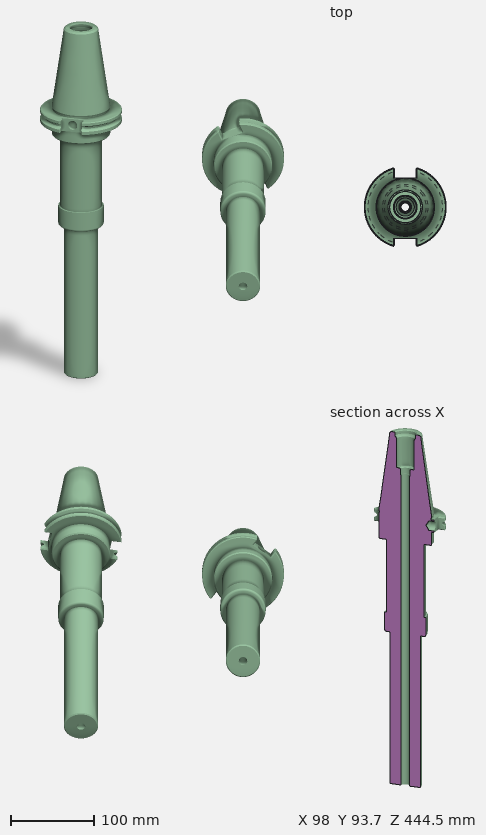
import cadquery as cq
import math

total_length = 444.5
taper_length = 101.0
bottom_z = taper_length - total_length

taper_rate = 7 / 24
gauge_radius = 70.0 / 2
tip_radius = gauge_radius - taper_length * taper_rate / 2
tip_chamfer_height = 1.8
tip_face_radius = 37.5 / 2
relief_radius = 69.0 / 2
relief_taper_height = 1.8

flange_radius = 98.0 / 2
flange_top_z = -3.5
flange_thickness = 16.5
flange_bottom_z = flange_top_z - flange_thickness
rim_chamfer = 1.0
groove_depth = 4.5
groove_flank_angle = 30
groove_floor_height = 2.0
groove_center_z = -11.5
groove_half_opening = groove_floor_height / 2 + groove_depth * math.tan(math.radians(groove_flank_angle))

hub_radius = 70.0 / 2
hub_bottom_z = -36.5
hub_chamfer = 1.5
neck_radius = 50.0 / 2
collar_radius = 54.5 / 2
collar_top_z = -127.5
collar_bottom_z = -152.5
collar_fillet = 2.5
bar_radius = 41.5 / 2
bar_chamfer = 1.5

slot_width = 25.8
slot_edge_chamfer = 1.5
slot_overshoot = 4.5
front_slot_floor = 37.8
rear_slot_floor = 35.0

drill_diameter = 11.5
drill_depth = 6.5
drill_point_angle = 118
drill_z = groove_center_z

mouth_radius = 28.5 / 2
mouth_chamfer_depth = 1.5
counterbore_radius = 26.0 / 2
counterbore_depth = 5.0
thread_radius = 21.8 / 2
thread_start_depth = 8.0
thread_end_depth = 44.5
countersink_radius = 15.0 / 2
countersink_depth = 1.5
step_radius = 12.5 / 2
step_depth = 53.5
through_radius = 10.0 / 2


def revolve_profile(profile):
    """Close the outline and turn it about the vertical axis of its own plane."""
    return profile.close().revolve(360, (0, 0), (0, 1))


def turned_body():
    fillet_offset = collar_fillet * math.sqrt(0.5)
    fillet_center = (collar_radius - collar_fillet, collar_bottom_z + collar_fillet)
    upper_points = [
        (0, taper_length),
        (tip_face_radius, taper_length),
        (tip_radius + tip_chamfer_height * taper_rate / 2, taper_length - tip_chamfer_height),
        (gauge_radius, 0),
        (relief_radius, -relief_taper_height),
        (relief_radius, flange_top_z),
        (flange_radius - rim_chamfer, flange_top_z),
        (flange_radius, flange_top_z - rim_chamfer),
        (flange_radius, groove_center_z + groove_half_opening),
        (flange_radius - groove_depth, groove_center_z + groove_floor_height / 2),
        (flange_radius - groove_depth, groove_center_z - groove_floor_height / 2),
        (flange_radius, groove_center_z - groove_half_opening),
        (flange_radius, flange_bottom_z + rim_chamfer),
        (flange_radius - rim_chamfer, flange_bottom_z),
        (hub_radius, flange_bottom_z),
        (hub_radius, hub_bottom_z + hub_chamfer),
        (hub_radius - hub_chamfer, hub_bottom_z),
        (neck_radius, hub_bottom_z),
        (neck_radius, collar_top_z),
        (collar_radius, collar_top_z),
        (collar_radius, fillet_center[1]),
    ]
    profile = (
        cq.Workplane("XZ")
        .polyline(upper_points)
        .threePointArc(
            (fillet_center[0] + fillet_offset, fillet_center[1] - fillet_offset),
            (fillet_center[0], collar_bottom_z),
        )
        .lineTo(bar_radius, collar_bottom_z)
        .lineTo(bar_radius, bottom_z + bar_chamfer)
        .lineTo(bar_radius - bar_chamfer, bottom_z)
        .lineTo(0, bottom_z)
    )
    return revolve_profile(profile)


def axial_bore():
    countersink_top = taper_length - thread_end_depth
    points = [
        (0, taper_length),
        (mouth_radius, taper_length),
        (counterbore_radius, taper_length - mouth_chamfer_depth),
        (counterbore_radius, taper_length - counterbore_depth),
        (thread_radius, taper_length - thread_start_depth),
        (thread_radius, countersink_top),
        (countersink_radius, countersink_top),
        (step_radius, countersink_top - countersink_depth),
        (step_radius, taper_length - step_depth),
        (through_radius, taper_length - step_depth),
        (through_radius, bottom_z),
        (0, bottom_z),
    ]
    return revolve_profile(cq.Workplane("XZ").polyline(points))


def mirrored_outline(plane, right_edge):
    """Closed outline from its right edge and the mirror image on the left."""
    left_edge = [(-x, y) for x, y in reversed(right_edge)]
    return plane.polyline(right_edge + left_edge).close()


def drive_slot(floor, side):
    """Slot through the flange; side is -1 for the front (-Y) and +1 for the rear."""
    half_width = slot_width / 2
    chamfered_half_width = half_width + slot_edge_chamfer
    mouth = math.sqrt(flange_radius**2 - chamfered_half_width**2)
    outside = flange_radius + slot_overshoot

    section = [
        (chamfered_half_width, flange_bottom_z),
        (half_width, flange_bottom_z + slot_edge_chamfer),
        (half_width, flange_top_z - slot_edge_chamfer),
        (chamfered_half_width, flange_top_z),
    ]
    section_plane = cq.Workplane("XZ").workplane(offset=-side * floor)
    channel = mirrored_outline(section_plane, section).extrude(side * (floor - outside))

    footprint = [
        (half_width, side * floor),
        (half_width, side * (mouth - slot_edge_chamfer)),
        (chamfered_half_width, side * mouth),
        (chamfered_half_width, side * outside),
    ]
    footprint_plane = cq.Workplane("XY", origin=(0, 0, flange_bottom_z))
    return channel.union(mirrored_outline(footprint_plane, footprint).extrude(flange_thickness))


def slot_hole():
    radius = drill_diameter / 2
    point_length = radius / math.tan(math.radians(drill_point_angle / 2))
    start = -front_slot_floor
    profile = [
        (0, start),
        (radius, start),
        (radius, start + drill_depth),
        (0, start + drill_depth + point_length),
    ]
    plane = cq.Workplane("XY", origin=(0, 0, drill_z))
    return revolve_profile(plane.polyline(profile))


result = turned_body()
result = result.cut(axial_bore())
result = result.cut(drive_slot(front_slot_floor, -1))
result = result.cut(drive_slot(rear_slot_floor, 1))
result = result.cut(slot_hole())